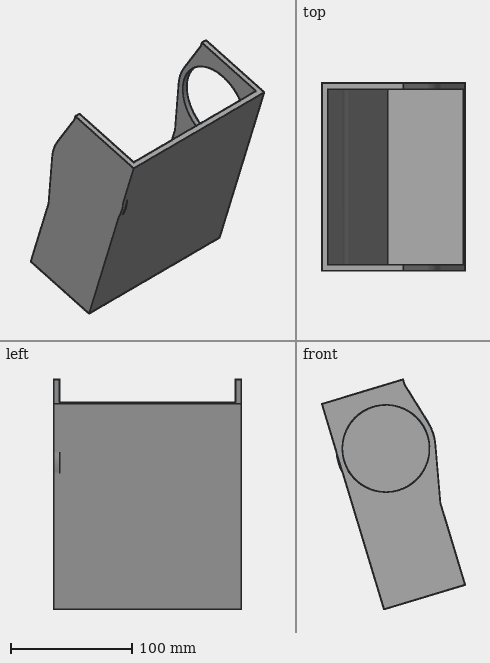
import cadquery as cq
import math

tilt = 16.83
wall = 5.0
width = 154.78
depth = 70.0
top = 50.5
bottom = -126.5
back = -40.0
front = back + depth
hole_radius = 71.85 / 2
rim_radius = hole_radius + wall
upper_break = 46.0
lower_break = -56.0


def rim_point(angle):
    return (rim_radius * math.cos(angle), rim_radius * math.sin(angle))


def tangent_angle(height):
    """Angle on the rim where a tangent from the front edge at this height touches it."""
    distance = math.hypot(front, height)
    towards_point = math.atan2(height, front)
    spread = math.acos(rim_radius / distance)
    return towards_point - math.copysign(spread, height)


def side_panel(inner_y):
    """Panel whose front edge swells around the rim, running from inner_y towards +Y."""
    upper_tangent = tangent_angle(upper_break)
    lower_tangent = tangent_angle(lower_break)
    middle = (upper_tangent + lower_tangent) / 2
    return (
        cq.Workplane("XZ", origin=(0, inner_y, 0))
        .moveTo(back, bottom)
        .lineTo(front, bottom)
        .lineTo(front, lower_break)
        .lineTo(*rim_point(lower_tangent))
        .threePointArc(rim_point(middle), rim_point(upper_tangent))
        .lineTo(front, upper_break)
        .lineTo(front, top)
        .lineTo(back, top)
        .close()
        .extrude(-wall)
    )


def disc(radius, start_y, length):
    """Cylinder on the hole axis, running from start_y towards +Y."""
    return cq.Workplane("XZ", origin=(0, start_y, 0)).circle(radius).extrude(-length)


def block(size_x, size_z):
    """Full-width block placed in the lower back corner of the tray."""
    return cq.Workplane("XY").box(size_x, width, size_z, centered=(False, True, False)).translate(
        (back, 0, bottom)
    )


near_y = -width / 2
far_panel_y = width / 2 - wall

back_wall = block(wall, top - bottom)
floor = block(depth, wall)
tray = back_wall.union(floor).union(side_panel(near_y)).union(side_panel(far_panel_y))

tray = tray.cut(disc(hole_radius, near_y, width - wall))

tray = tray.union(disc(rim_radius, far_panel_y, wall))

result = tray.rotate((0, 0, 0), (0, 1, 0), -tilt)